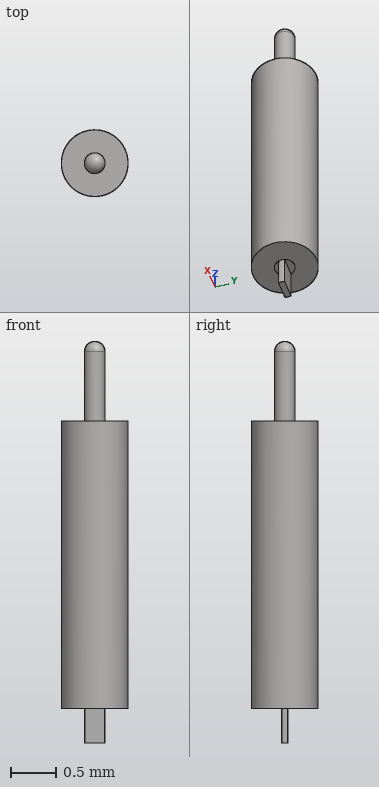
import cadquery as cq
import math

housing_diameter = 0.74
housing_length = 3.18

pin_diameter = 0.23
pin_radius = pin_diameter / 2
tip_projection = 0.88
tail_projection = 0.38
tail_thickness = 0.07

pin_top = housing_length + tip_projection
dome_start = pin_top - pin_radius


def make_housing():
    """Cylinder with a through bore that fits the pin."""
    return (
        cq.Workplane("XY")
        .circle(housing_diameter / 2)
        .circle(pin_radius)
        .extrude(housing_length)
    )


def make_rod():
    """Round rod over the pin's full length with a hemispherical upper end."""
    dome_middle = pin_radius * math.sqrt(0.5)
    return (
        cq.Workplane("XZ")
        .moveTo(0, -tail_projection)
        .lineTo(pin_radius, -tail_projection)
        .lineTo(pin_radius, dome_start)
        .threePointArc((dome_middle, dome_start + dome_middle), (0, pin_top))
        .close()
        .revolve(360, (0, 0), (0, 1))
    )


def make_flat_cut(side):
    """Waste block beside the tail; side is -1 for the -Y flat and +1 for the +Y flat."""
    center_y = side * (tail_thickness + pin_diameter) / 2
    return (
        cq.Workplane("XY")
        .center(0, center_y)
        .rect(2 * pin_diameter, pin_diameter)
        .extrude(-tail_projection)
    )


def make_pin():
    """Rod whose lower end has flats facing -Y and +Y, round edges at -X and +X."""
    pin = make_rod()
    for side in (-1, 1):
        pin = pin.cut(make_flat_cut(side))
    return pin


housing = make_housing()
pin = make_pin()

result = cq.Compound.makeCompound([housing.solids().val(), pin.solids().val()])